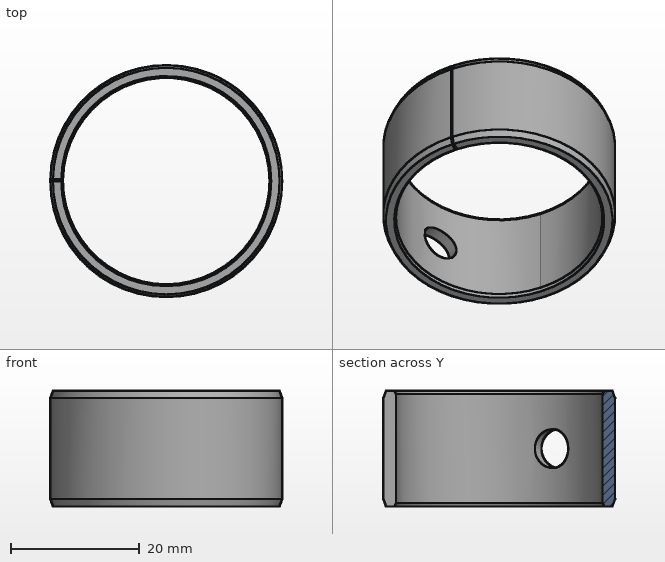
import cadquery as cq
import math

outer_diameter = 36.0
inner_diameter = 32.0
height = 18.0

outer_chamfer_height = 1.2
outer_chamfer_angle = 20.0
inner_chamfer_height = 0.55
inner_chamfer_depth = 0.3

split_width = 0.3
split_offset_y = 0.15

oil_hole_diameter = 6.0
oil_hole_direction = 59.0

outer_radius = outer_diameter / 2
inner_radius = inner_diameter / 2
half_height = height / 2
outer_chamfer_depth = outer_chamfer_height * math.tan(math.radians(outer_chamfer_angle))


def make_sleeve():
    """Revolve the chamfered wall section around Z."""
    return (
        cq.Workplane("XZ")
        .moveTo(inner_radius, -half_height + inner_chamfer_height)
        .lineTo(inner_radius + inner_chamfer_depth, -half_height)
        .lineTo(outer_radius - outer_chamfer_depth, -half_height)
        .lineTo(outer_radius, -half_height + outer_chamfer_height)
        .lineTo(outer_radius, half_height - outer_chamfer_height)
        .lineTo(outer_radius - outer_chamfer_depth, half_height)
        .lineTo(inner_radius + inner_chamfer_depth, half_height)
        .lineTo(inner_radius, half_height - inner_chamfer_height)
        .close()
        .revolve(360, (0, 0, 0), (0, 1, 0))
    )


def make_split():
    """Thin full-height slab running from the axis out past the -X side."""
    return (
        cq.Workplane("XY")
        .box(outer_diameter, split_width, 2 * height)
        .translate((-outer_radius, split_offset_y, 0))
    )


def make_oil_hole():
    """Cylinder running radially outward from the axis through one wall."""
    return (
        cq.Workplane("YZ")
        .circle(oil_hole_diameter / 2)
        .extrude(outer_diameter)
        .rotate((0, 0, 0), (0, 0, 1), oil_hole_direction)
    )


result = make_sleeve().cut(make_split()).cut(make_oil_hole())